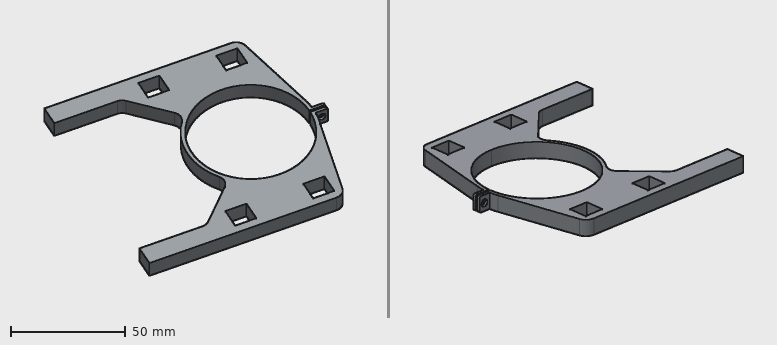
import cadquery as cq
import math

width = 105.0
length = 111.6
thickness = 8.0
corner_radius = 5.0
corner_center_y = 91.0

bore_radius = 28.7
ring_wall = 2.0
ring_radius = bore_radius + ring_wall
ring_center_y = 74.9

leg_width = 10.0
leg_inner_height = 32.7
void_fillet = 5.0

window_width = 9.8
window_height = 10.3
window_edge_margin = 4.1
lower_window_y = 48.9
window_pitch_y = 38.0

slit_width = 1.0
tab_thickness = 1.5
tab_tip_radius = 1.0
screw_hole_diameter = 3.5
screw_hole_from_tip = 3.0


def plate_outline():
    """Plate with top edges tangent to both the ring and the corner arcs."""
    half_width = width / 2
    corner_x = half_width - corner_radius
    rise = corner_center_y - ring_center_y
    center_distance = math.hypot(corner_x, rise)
    slope = math.asin((ring_radius - corner_radius) / center_distance) - math.atan2(rise, corner_x)

    def on_arc(center_x, center_y, radius, angle):
        """Point at an angle measured from +Y towards +X."""
        return (center_x + radius * math.sin(angle), center_y + radius * math.cos(angle))

    corner_end = on_arc(corner_x, corner_center_y, corner_radius, slope)
    corner_middle = on_arc(corner_x, corner_center_y, corner_radius, (slope + math.pi / 2) / 2)
    ring_end = on_arc(0, ring_center_y, ring_radius, slope)

    def mirrored(point):
        return (-point[0], point[1])

    return (
        cq.Workplane("XY")
        .moveTo(-half_width, 0)
        .lineTo(half_width, 0)
        .lineTo(half_width, corner_center_y)
        .threePointArc(corner_middle, corner_end)
        .lineTo(*ring_end)
        .threePointArc((0, ring_center_y + ring_radius), mirrored(ring_end))
        .lineTo(*mirrored(corner_end))
        .threePointArc(mirrored(corner_middle), (-half_width, corner_center_y))
        .close()
        .extrude(thickness)
    )


def disc(radius):
    return cq.Workplane("XY").center(0, ring_center_y).circle(radius).extrude(thickness)


def leg_void():
    """Space between the legs, with 45 degree sides running up to the ring."""
    half_gap = width / 2 - leg_width
    apex_y = leg_inner_height + half_gap
    void = (
        cq.Workplane("XY")
        .polyline([
            (-half_gap, 0),
            (half_gap, 0),
            (half_gap, leg_inner_height),
            (0, apex_y),
            (-half_gap, leg_inner_height),
        ])
        .close()
        .extrude(thickness)
        .cut(disc(ring_radius))
    )
    above_leg_ends = cq.selectors.BoxSelector(
        (-width, leg_inner_height / 2, -thickness), (width, length, 2 * thickness)
    )
    return void.edges("|Z").edges(above_leg_ends).fillet(void_fillet)


def windows():
    x = width / 2 - window_edge_margin - window_width / 2
    upper_window_y = lower_window_y + window_pitch_y
    centers = [(side * x, y) for side in (-1, 1) for y in (lower_window_y, upper_window_y)]
    return (
        cq.Workplane("XY")
        .pushPoints(centers)
        .rect(window_width, window_height)
        .extrude(thickness)
    )


def clamp_tabs():
    """Both tabs as one block with rounded tips and a screw hole; the slit parts them."""
    block_width = slit_width + 2 * tab_thickness
    block_length = length - ring_center_y
    block = (
        cq.Workplane("XY")
        .box(block_width, block_length, thickness, centered=(True, False, False))
        .translate((0, ring_center_y, 0))
        .edges("|X and >Y")
        .fillet(tab_tip_radius)
    )
    screw_hole = (
        cq.Workplane("YZ")
        .center(length - screw_hole_from_tip, thickness / 2)
        .circle(screw_hole_diameter / 2)
        .extrude(block_width, both=True)
    )
    return block.cut(screw_hole)


def slit():
    return (
        cq.Workplane("XY")
        .box(slit_width, length - ring_center_y, thickness, centered=(True, False, False))
        .translate((0, ring_center_y, 0))
    )


result = (
    plate_outline()
    .cut(leg_void())
    .union(clamp_tabs())
    .cut(disc(bore_radius))
    .cut(slit())
    .cut(windows())
)